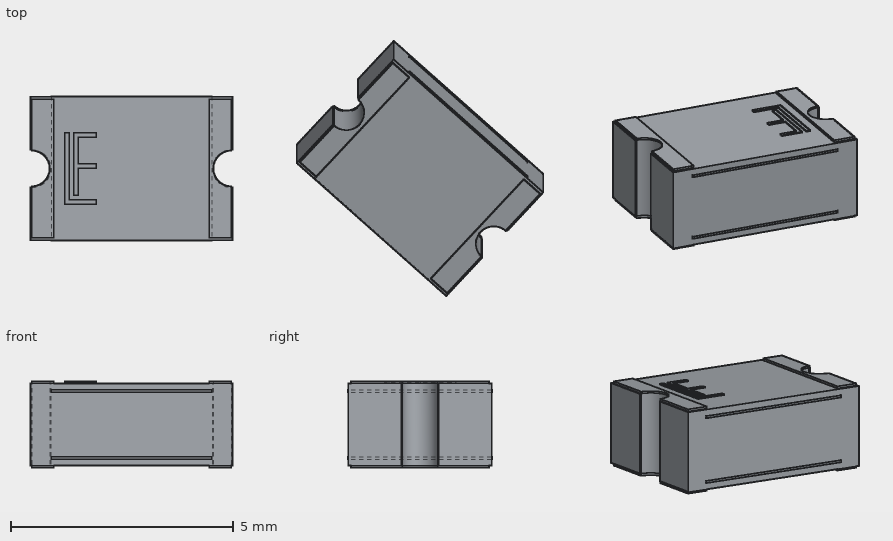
import cadquery as cq

body_length = 4.55
body_width = 3.235
body_height = 1.85

plate_length = 3.6
plate_width = 3.25
plate_thickness = 0.05
plate_depth = 0.15
plate_offset = body_height / 2 - plate_depth - plate_thickness / 2

pad_length = 0.5
pad_width = 3.105
pad_thickness = 0.05
pad_inset = 0.03
notch_radius = 0.4
plating_thickness = 0.025
terminal_edge_x = body_length / 2 - pad_inset
bore_radius = notch_radius + plating_thickness
overall_height = body_height + 2 * pad_thickness

stroke = 0.1
letter_pitch = 2 * stroke
mark_left = -1.495
mark_width = 0.7
mark_height = 1.61
middle_arm_drop = 0.7
letter_thickness = 0.02
letter_base_z = overall_height / 2 - letter_thickness
mark_right = mark_left + mark_width
mark_top = mark_height / 2
mark_bottom = -mark_top


def notch_cylinder(side, radius, height):
    """Upright cylinder centred on the outer edge of one terminal."""
    return (
        cq.Workplane("XY")
        .center(side * terminal_edge_x, 0)
        .circle(radius)
        .extrude(height / 2, both=True)
    )


def make_plate(z):
    return cq.Workplane("XY").box(plate_length, plate_width, plate_thickness).translate((0, 0, z))


def make_body(plates):
    body = cq.Workplane("XY").box(body_length, body_width, body_height)
    for side in (-1, 1):
        body = body.cut(notch_cylinder(side, bore_radius, body_height))
    for plate in plates:
        body = body.cut(plate)
    return body


def make_terminal(side):
    """Two pads and the plated half-round wall at the -X or +X end."""
    pad_center_x = side * (terminal_edge_x - pad_length / 2)
    envelope = cq.Workplane("XY").box(pad_length, pad_width, overall_height).translate((pad_center_x, 0, 0))
    wall = notch_cylinder(side, bore_radius, body_height).intersect(envelope)
    block_space = cq.Workplane("XY").box(body_length, body_width, body_height)
    pads = envelope.cut(block_space)
    return pads.union(wall).cut(notch_cylinder(side, notch_radius, overall_height))


def make_stroke(left, right, bottom, top):
    """Rectangular bar of a letter, given by its four edges."""
    return (
        cq.Workplane("XY", origin=((left + right) / 2, (bottom + top) / 2, letter_base_z))
        .rect(right - left, top - bottom)
        .extrude(letter_thickness)
    )


def make_letter_l():
    stem = make_stroke(mark_left, mark_left + stroke, mark_bottom, mark_top)
    foot = make_stroke(mark_left, mark_right, mark_bottom, mark_bottom + stroke)
    return stem.union(foot)


def make_letter_f():
    left = mark_left + letter_pitch
    letter = make_stroke(left, left + stroke, mark_bottom + letter_pitch, mark_top)
    for arm_top in (mark_top, mark_top - middle_arm_drop):
        letter = letter.union(make_stroke(left, mark_right, arm_top - stroke, arm_top))
    return letter


plates = [make_plate(z) for z in (-plate_offset, plate_offset)]
body = make_body(plates)
terminals = [make_terminal(side) for side in (-1, 1)]
letter_l = make_letter_l()
letter_f = make_letter_f()

result = cq.Compound.makeCompound([
    body.solids().val(),
    *[plate.solids().val() for plate in plates],
    *[terminal.solids().val() for terminal in terminals],
    letter_l.solids().val(),
    letter_f.solids().val(),
])